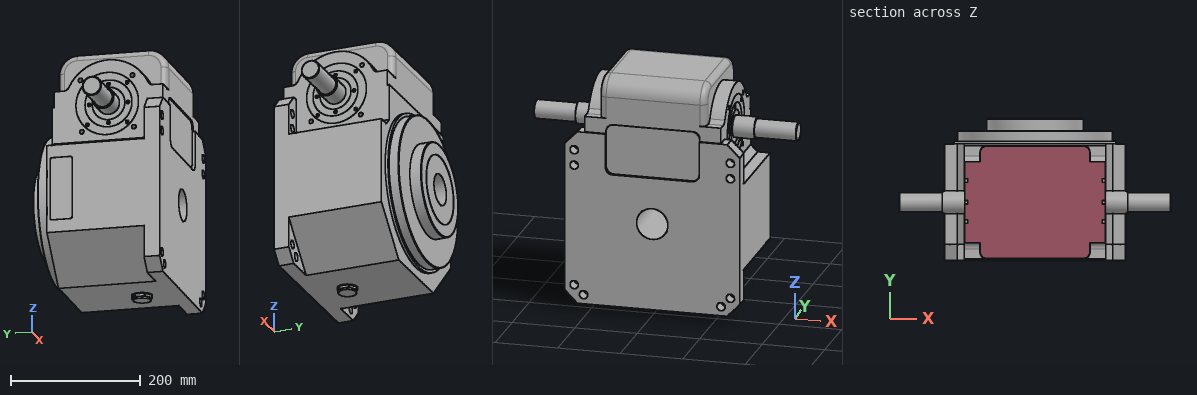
import cadquery as cq
import math


plate_size = 280.0
plate_thickness = 25.0
plate_chamfer = 20.0
front_y = -90.0
plate_hole_diameter = 13.0
plate_hole_spots = [(125.0, 110.0), (125.0, 85.0), (125.0, -110.0), (110.0, -125.0)]

rear_y = -front_y
half_height = plate_size / 2
housing_half_width = plate_size / 2
shoulder_half_width = 120.0
bearing_half_width = 109.0
shoulder_z = 70.0
lower_chamfer = 70.0

shaft_z = half_height
block_half_depth = 87.0
ledge_z = 165.0
bearing_arch_radius = 70.0
arch_foot_radius = 10.0
cover_half_width = 85.0
cover_top_z = 230.0
cover_corner_radius = 30.0
cover_edge_radius = 10.0

shaft_half_length = 210.0
shaft_diameter = 30.0
shaft_chamfer = 1.0
shaft_shoulder_diameter = 35.0
shaft_shoulder_x = 143.0

cap_step = 0.2
eccentric_diameter = 100.0
eccentric_offset = 2.0
cap_ring_diameters = [75.0, 52.0]
cap_hole_diameter = 5.0
cap_hole_depth = 5.0
inner_cap_circle_radius = 31.0
outer_cap_circle_radius = 45.0
clamp_hole_diameter = 6.8
clamp_hole_depth = 16.0
clamp_circle_radius = 58.75
clamp_turn = -1.5
drill_point_angle = 118.0

base_flange_diameter = 250.0
base_flange_y = 94.5
flange_diameter = 240.0
flange_y = 110.5
hub_diameter = 150.0
hub_y = 129.5
hub_pad_diameter = 110.0
hub_pad_y = 130.0
rim_chamfer = 1.0
bore_diameter = 50.0

panel_half_width = 75.0
panel_bottom_z = 74.5
panel_top_z = 155.0
panel_corner_radius = 12.0
panel_floor_y = -85.0

label_width = 35.0
label_center_y = 67.5
label_height = 100.0
label_depth = 0.5
label_corner_radius = 3.0

plug_y = -25.0
plug_washer_diameter = 32.0
plug_washer_thickness = 1.0
plug_hex_across_flats = 28.5
plug_hex_outer_diameter = 32.0
plug_hex_end = 5.3
plug_nose_diameter = 28.0
plug_length = 8.3


def y_plane(y):
    """Sketch plane at y, local x = X, local y = Z, normal toward -Y."""
    return cq.Workplane("XZ", origin=(0, y, 0))


def x_plane(x):
    """Sketch plane at x, local x = Y, local y = Z, normal toward +X."""
    return cq.Workplane("YZ", origin=(x, 0, 0))


def make_plate():
    blank = y_plane(front_y + plate_thickness).rect(plate_size, plate_size).extrude(plate_thickness)
    return blank.edges("|Y").chamfer(plate_chamfer)


def make_housing():
    """Body as wide as the plate, with large lower chamfers and shoulders below the shaft."""
    shoulder_top_z = shoulder_z + shoulder_half_width - bearing_half_width
    lower_half_width = housing_half_width - lower_chamfer
    right_side = [
        (lower_half_width, -half_height),
        (housing_half_width, lower_chamfer - half_height),
        (housing_half_width, shoulder_z),
        (shoulder_half_width, shoulder_z),
        (bearing_half_width, shoulder_top_z),
        (bearing_half_width, half_height),
    ]
    left_side = [(-x, z) for x, z in reversed(right_side)]
    return y_plane(rear_y).polyline(right_side + left_side).close().extrude(rear_y - front_y)


def make_bearing_block():
    """Block across the housing with an arch around the shaft, blended into the side ledges."""
    foot_center_z = ledge_z + arch_foot_radius
    center_distance = bearing_arch_radius + arch_foot_radius
    foot_center_y = math.sqrt(center_distance**2 - (foot_center_z - shaft_z) ** 2)
    arch_share = bearing_arch_radius / center_distance
    arch_end_y = foot_center_y * arch_share
    arch_end_z = shaft_z + (foot_center_z - shaft_z) * arch_share
    angle_to_ledge = -math.pi / 2
    angle_to_arch = math.atan2(shaft_z - foot_center_z, -foot_center_y)
    foot_angle = (angle_to_ledge + angle_to_arch) / 2
    foot_mid_y = foot_center_y + arch_foot_radius * math.cos(foot_angle)
    foot_mid_z = foot_center_z + arch_foot_radius * math.sin(foot_angle)
    profile = (
        x_plane(-bearing_half_width)
        .moveTo(-block_half_depth, shoulder_z)
        .lineTo(block_half_depth, shoulder_z)
        .lineTo(block_half_depth, ledge_z)
        .lineTo(foot_center_y, ledge_z)
        .threePointArc((foot_mid_y, foot_mid_z), (arch_end_y, arch_end_z))
        .threePointArc((0, shaft_z + bearing_arch_radius), (-arch_end_y, arch_end_z))
        .threePointArc((-foot_mid_y, foot_mid_z), (-foot_center_y, ledge_z))
        .lineTo(-block_half_depth, ledge_z)
        .close()
    )
    return profile.extrude(2 * bearing_half_width)


def make_cover():
    """Rounded hood whose bottom is buried in the bearing block."""
    hood = (
        cq.Workplane("XY", origin=(0, 0, shaft_z))
        .rect(2 * cover_half_width, 2 * block_half_depth)
        .extrude(cover_top_z - shaft_z)
        .edges("|X and >Z")
        .fillet(cover_corner_radius)
    )
    return hood.faces("<X or >X").edges("not <Z").fillet(cover_edge_radius)


def make_shaft():
    shaft = (
        cq.Workplane("YZ", origin=(-shaft_half_length, 0, shaft_z))
        .circle(shaft_diameter / 2)
        .extrude(2 * shaft_half_length)
        .edges()
        .chamfer(shaft_chamfer)
    )
    shoulder = (
        cq.Workplane("YZ", origin=(-shaft_shoulder_x, 0, shaft_z))
        .circle(shaft_shoulder_diameter / 2)
        .extrude(2 * shaft_shoulder_x)
    )
    return shaft.union(shoulder)


def make_disc(diameter, face_y):
    """Disc around the bore axis, from the origin to its rear face at face_y."""
    return y_plane(face_y).circle(diameter / 2).extrude(face_y)


def make_flange():
    base = make_disc(base_flange_diameter, base_flange_y)
    flange = make_disc(flange_diameter, flange_y).faces(">Y").chamfer(rim_chamfer)
    hub = make_disc(hub_diameter, hub_y).faces(">Y").chamfer(rim_chamfer)
    hub_pad = make_disc(hub_pad_diameter, hub_pad_y)
    return base.union(flange).union(hub).union(hub_pad)


def make_drain_plug():
    """Washer, hex head with rounded corners, and a round nose, all hanging under the body."""

    def section(length):
        return cq.Workplane("XY", origin=(0, plug_y, -half_height - length))

    washer = section(plug_washer_thickness).circle(plug_washer_diameter / 2).extrude(plug_washer_thickness)
    head = (
        section(plug_hex_end)
        .polygon(6, plug_hex_across_flats, circumscribed=True)
        .extrude(plug_hex_end)
    )
    head = head.intersect(section(plug_hex_end).circle(plug_hex_outer_diameter / 2).extrude(plug_hex_end))
    nose = section(plug_length).circle(plug_nose_diameter / 2).extrude(plug_length)
    return washer.union(head).union(nose)


def circle_spots(radius, start_angle, center_y=0.0):
    """Four evenly spaced (Y, Z) points around the shaft axis."""
    spots = []
    for quarter in range(4):
        angle = math.radians(start_angle + 90 * quarter)
        spots.append((center_y + radius * math.cos(angle), shaft_z + radius * math.sin(angle)))
    return spots


def make_cap_cutter():
    """Everything removed from the -X bearing face: ring steps, cap holes and clamp holes."""
    face = x_plane(-bearing_half_width)
    cutter = face.center(eccentric_offset, shaft_z).circle(eccentric_diameter / 2).extrude(cap_step)
    for index, diameter in enumerate(cap_ring_diameters):
        ring = face.center(0, shaft_z).circle(diameter / 2).extrude(cap_step * (index + 2))
        cutter = cutter.union(ring)
    cap_spots = circle_spots(inner_cap_circle_radius, 0)
    cap_spots += circle_spots(outer_cap_circle_radius, 45, eccentric_offset)
    cutter = cutter.union(face.pushPoints(cap_spots).circle(cap_hole_diameter / 2).extrude(cap_hole_depth))

    radius = clamp_hole_diameter / 2
    point_length = radius / math.tan(math.radians(drill_point_angle / 2))
    for y, z in circle_spots(clamp_circle_radius, 45 + clamp_turn, eccentric_offset):
        drill = cq.Solid.makeCylinder(
            radius, clamp_hole_depth, cq.Vector(-bearing_half_width, y, z), cq.Vector(1, 0, 0)
        )
        point = cq.Solid.makeCone(
            radius,
            0,
            point_length,
            cq.Vector(clamp_hole_depth - bearing_half_width, y, z),
            cq.Vector(1, 0, 0),
        )
        cutter = cutter.union(cq.Workplane(drill.fuse(point)))
    shoulder = face.center(0, shaft_z).circle(shaft_shoulder_diameter / 2).extrude(clamp_hole_depth)
    return cutter.cut(shoulder)


def make_panel_cutter():
    panel_height = panel_top_z - panel_bottom_z
    return (
        y_plane(panel_floor_y)
        .center(0, (panel_top_z + panel_bottom_z) / 2)
        .rect(2 * panel_half_width, panel_height)
        .extrude(panel_floor_y - front_y)
        .edges("|Y")
        .fillet(panel_corner_radius)
    )


def make_label_cutter():
    return (
        x_plane(-housing_half_width)
        .center(label_center_y, 0)
        .rect(label_width, label_height)
        .extrude(label_depth)
        .edges("|X")
        .fillet(label_corner_radius)
    )


def make_plate_holes():
    spots = [(side * x, z) for x, z in plate_hole_spots for side in (-1, 1)]
    return (
        y_plane(front_y + plate_thickness)
        .pushPoints(spots)
        .circle(plate_hole_diameter / 2)
        .extrude(plate_thickness)
    )


def make_bore():
    return y_plane(hub_pad_y).circle(bore_diameter / 2).extrude(hub_pad_y - front_y)


body = make_plate()
for feature in (make_housing(), make_bearing_block(), make_cover(), make_shaft(), make_flange()):
    body = body.union(feature)
body = body.union(make_drain_plug())

cap_cutter = make_cap_cutter()
for cutter in (make_plate_holes(), make_bore(), make_panel_cutter(), make_label_cutter()):
    body = body.cut(cutter)
result = body.cut(cap_cutter).cut(cap_cutter.mirror("YZ"))